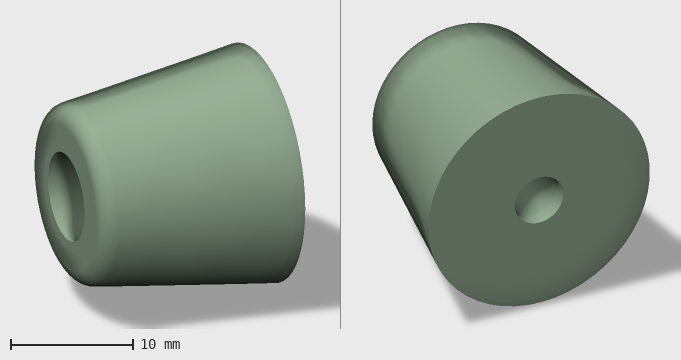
import cadquery as cq

length = 17.0
base_diameter = 20.0
tip_diameter = 15.0
tip_fillet = 1.5
bore_diameter = 4.4
counterbore_diameter = tip_diameter / 2
floor_thickness = 5.0
counterbore_depth = length - floor_thickness


def tapered_body():
    """Cone frustum from the tip at Y = 0 to the base, with a rounded tip edge."""
    profile = (
        cq.Workplane("XY")
        .polyline([(0, 0), (tip_diameter / 2, 0), (base_diameter / 2, length), (0, length)])
        .close()
    )
    return profile.revolve(360, (0, 0), (0, 1)).faces("<Y").edges().fillet(tip_fillet)


def cylinder_from_tip(diameter, depth):
    """Cylinder on the Y axis that starts at the tip face."""
    return cq.Workplane("XZ").circle(diameter / 2).extrude(-depth)


through_bore = cylinder_from_tip(bore_diameter, length)
counterbore = cylinder_from_tip(counterbore_diameter, counterbore_depth)
result = tapered_body().cut(through_bore).cut(counterbore)